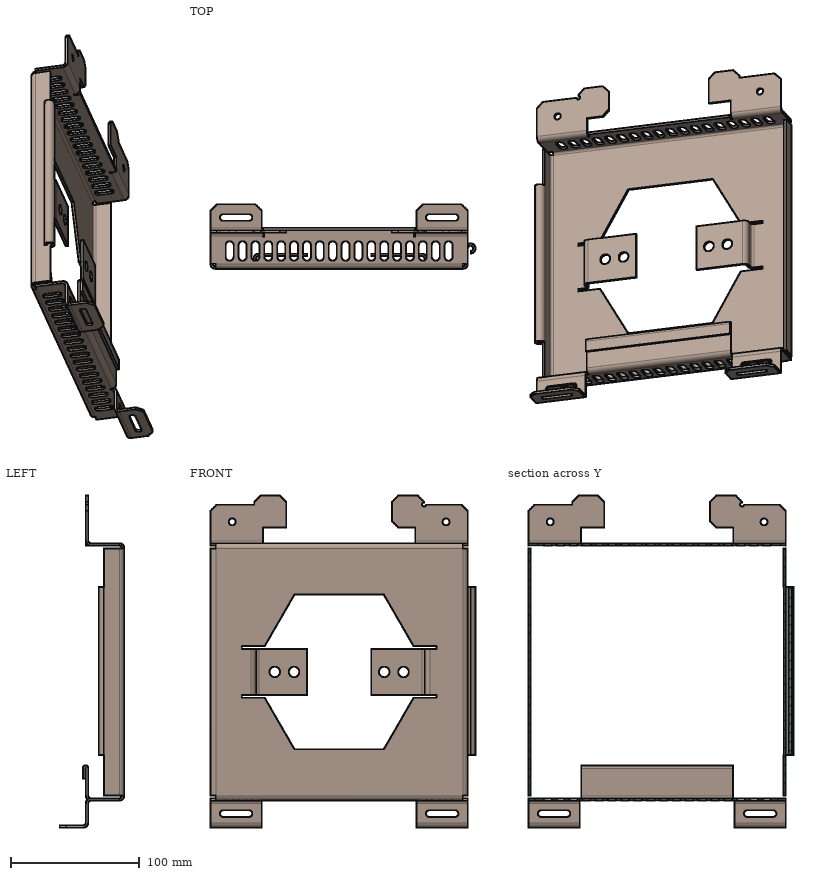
import cadquery as cq
import math

SHEET = 2.0
BEND_INNER = 2.0
BEND_OUTER = BEND_INNER + SHEET
BEND_MID = BEND_INNER + SHEET / 2

BODY_SIZE = 200.0
BODY_HALF = BODY_SIZE / 2
FLAT_HALF = BODY_HALF - BEND_OUTER
FLANGE_MID = BODY_HALF - SHEET / 2

HEXAGON_SIDES = 6
HEXAGON_APOTHEM = 60.0
HEXAGON_CORNER_DIAMETER = 2 * HEXAGON_APOTHEM / math.cos(math.pi / HEXAGON_SIDES)
INNER_TAB_HALF_HEIGHT = 18.0
SLIT_HEIGHT = 2.0
SLIT_END = 75.5
LEFT_TAB_BEND_START = 68.5
RIGHT_TAB_BEND_START = 70.3
INNER_TAB_BACK = 12.0
INNER_TAB_TIP = 24.8
INNER_TAB_HOLE_DIAMETER = 8.0
INNER_TAB_HOLES = (35.0, 50.0)

SIDE_FLANGE_END = 16.0
HOOK_TURN = 270
HOOK_BOTTOM = -64.5
HOOK_TOP = 66.0

REAR_FACE = 30.0
FLANGE_END = REAR_FACE - BEND_OUTER
RELIEF_WIDTH = 1.0
RELIEF_DEPTH = 1.0
VENT_COUNT = 18
VENT_PITCH = 10.0
VENT_WIDTH = 6.0
VENT_LENGTH = 15.0
VENT_CENTRE_Y = 14.0

EAR_INNER_EDGE = 59.0
EAR_TOP = 130.0
EAR_CHAMFER = 5.0
LOBE_OUTER_EDGE = 66.0
LOBE_INNER_EDGE = 41.0
LOBE_TOP = 137.0
LOBE_BOTTOM = 112.0
EAR_HOLE_X = 83.0
EAR_HOLE_Z = 116.5
EAR_HOLE_DIAMETER = 5.2
EAR_NOTCH_RADIUS = 1.5

FOOT_WIDTH = 40.0
FOOT_CENTRE_X = BODY_HALF - FOOT_WIDTH / 2
FOOT_BOTTOM = -121.0
FOOT_END = 50.29
FOOT_CHAMFER = 5.0
FOOT_SLOT_LENGTH = 25.0
FOOT_SLOT_WIDTH = 5.0
FOOT_SLOT_Z = -110.0
FOOT_SLOT_Y = 40.0

LIP_HALF_WIDTH = BODY_HALF - FOOT_WIDTH - RELIEF_WIDTH
LIP_TOP = -72.5
HEM_INNER = 0.1
HEM_END = -83.0


def bent_sheet(plane, start, heading, steps, low, high):
    """Sheet following a mid-line in `plane`, spanning low..high along the plane normal.

    Each step is (straight length, turn angle, inner bend radius), angles in degrees
    with left turns positive.
    """
    x, y = start
    angle = math.radians(heading)
    half = SHEET / 2

    def sides(px, py, direction):
        nx, ny = -math.sin(direction), math.cos(direction)
        return [(px + side * half * nx, py + side * half * ny) for side in (1, -1)]

    first = sides(x, y, angle)
    runs = []
    for length, turn, inner_radius in steps:
        if length:
            x += length * math.cos(angle)
            y += length * math.sin(angle)
            runs.append((None, sides(x, y, angle)))
        if turn:
            sign = math.copysign(1, turn)
            radius = inner_radius + half
            centre_x = x - sign * radius * math.sin(angle)
            centre_y = y + sign * radius * math.cos(angle)
            stations = []
            for part in (0.5, 1):
                direction = angle + part * math.radians(turn)
                x = centre_x + sign * radius * math.sin(direction)
                y = centre_y - sign * radius * math.cos(direction)
                stations.append(sides(x, y, direction))
            angle += math.radians(turn)
            runs.append(tuple(stations))

    outline = cq.Workplane(plane, origin=plane_origin(plane, low)).moveTo(*first[0])
    for middle, end in runs:
        outline = add_run(outline, middle, end, 0)
    outline = outline.lineTo(*runs[-1][1][1])
    starts = [first] + [end for _, end in runs[:-1]]
    for (middle, _), begin in zip(reversed(runs), reversed(starts)):
        outline = add_run(outline, middle, begin, 1)
    return outline.close().extrude(high - low)


def plane_origin(plane, offset):
    """Origin of an XY or YZ plane moved along its normal."""
    return (0, 0, offset) if plane == "XY" else (offset, 0, 0)


def add_run(outline, middle, end, side):
    """Add one straight or bent stretch of a sheet's left (0) or right (1) side."""
    if middle is None:
        return outline.lineTo(*end[side])
    return outline.threePointArc(middle[side], end[side])


def block(x_range, y_range, z_range):
    """Axis-aligned box given by its limits."""
    ranges = (x_range, y_range, z_range)
    sizes = [high - low for low, high in ranges]
    corner = tuple(low for low, _ in ranges)
    return cq.Workplane("XY").box(*sizes, centered=False).translate(corner)


def front_cutter(points):
    """Front-facing workplane at the given points, for cutting from the front face."""
    return cq.Workplane("XZ").pushPoints(points)


def mirror_x(shape):
    return shape.mirror("YZ")


def front_plate():
    flat = (-FLAT_HALF, FLAT_HALF)
    plate = block(flat, (0, SHEET), flat)
    hexagon = front_cutter([(0, 0)]).polygon(HEXAGON_SIDES, HEXAGON_CORNER_DIAMETER).extrude(-SHEET)
    slit_top = INNER_TAB_HALF_HEIGHT + SLIT_HEIGHT
    tab_gap = block((-SLIT_END, SLIT_END), (0, SHEET), (-slit_top, slit_top))
    return plate.cut(hexagon).cut(tab_gap)


def inner_tab(bend_start):
    """Left tab with two holes, stepped back from the plate from X = -bend_start."""
    leg = INNER_TAB_BACK - 2 * BEND_OUTER
    reach = bend_start - 2 * BEND_MID - INNER_TAB_TIP
    steps = [
        (SLIT_END - bend_start, 90, BEND_INNER),
        (leg, -90, BEND_INNER),
        (reach, 0, 0),
    ]
    height = INNER_TAB_HALF_HEIGHT
    tab = bent_sheet("XY", (-SLIT_END, SHEET / 2), 0, steps, -height, height)
    centres = [(-x, 0) for x in INNER_TAB_HOLES]
    holes = front_cutter(centres).circle(INNER_TAB_HOLE_DIAMETER / 2).extrude(-INNER_TAB_BACK)
    return tab.cut(holes)


def side_flange():
    """Left flange, as tall as the flat of the plate."""
    steps = [(0, -90, BEND_INNER), (SIDE_FLANGE_END - BEND_OUTER, 0, 0)]
    return bent_sheet("XY", (-FLAT_HALF, SHEET / 2), 180, steps, -FLAT_HALF, FLAT_HALF)


def hook():
    """Open curl rolled outward from the rear edge of the right flange."""
    steps = [(0, -HOOK_TURN, BEND_INNER)]
    return bent_sheet("XY", (FLANGE_MID, SIDE_FLANGE_END), 90, steps, HOOK_BOTTOM, HOOK_TOP)


def vented_flange():
    """Top flange up to where its rear features begin."""
    bend = bent_sheet(
        "YZ", (SHEET / 2, FLAT_HALF), 90, [(0, -90, BEND_INNER)], -FLAT_HALF, FLAT_HALF
    )
    web = block(
        (-BODY_HALF, BODY_HALF), (BEND_OUTER, FLANGE_END), (BODY_HALF - SHEET, BODY_HALF)
    )
    vents = (
        cq.Workplane("XY", origin=(0, VENT_CENTRE_Y, BODY_HALF - SHEET))
        .rarray(VENT_PITCH, 1, VENT_COUNT, 1)
        .slot2D(VENT_LENGTH, VENT_WIDTH, 90)
        .extrude(SHEET)
    )
    return bend.union(web).cut(vents)


def top_rear_strip():
    """Straight rear edge of the top flange between the ears."""
    half = EAR_INNER_EDGE - RELIEF_WIDTH
    return block((-half, half), (FLANGE_END, REAR_FACE), (BODY_HALF - SHEET, BODY_HALF))


def left_ear():
    """Left ear, with a raised lobe on its inner side and one hole."""
    bend_steps = [(0, 90, BEND_INNER)]
    bend = bent_sheet(
        "YZ", (FLANGE_END, FLANGE_MID), 0, bend_steps, -BODY_HALF, -EAR_INNER_EDGE
    )
    outline = [
        (-BODY_HALF, BODY_HALF + BEND_INNER),
        (-BODY_HALF, EAR_TOP - EAR_CHAMFER),
        (-BODY_HALF + EAR_CHAMFER, EAR_TOP),
        (-LOBE_OUTER_EDGE, EAR_TOP),
        (-LOBE_OUTER_EDGE, LOBE_TOP - EAR_CHAMFER),
        (-LOBE_OUTER_EDGE + EAR_CHAMFER, LOBE_TOP),
        (-LOBE_INNER_EDGE - EAR_CHAMFER, LOBE_TOP),
        (-LOBE_INNER_EDGE, LOBE_TOP - EAR_CHAMFER),
        (-LOBE_INNER_EDGE, LOBE_BOTTOM),
        (-EAR_INNER_EDGE, LOBE_BOTTOM),
        (-EAR_INNER_EDGE, BODY_HALF + BEND_INNER),
    ]
    face = cq.Workplane("XZ", origin=(0, REAR_FACE, 0)).polyline(outline).close().extrude(SHEET)
    hole = (
        cq.Workplane("XZ", origin=(0, REAR_FACE, 0))
        .center(-EAR_HOLE_X, EAR_HOLE_Z)
        .circle(EAR_HOLE_DIAMETER / 2)
        .extrude(SHEET)
    )
    return bend.union(face).cut(hole)


def right_ear():
    """Mirrored ear with a chamfered lower lobe corner and a round notch beside the lobe."""
    rear = cq.Workplane("XZ", origin=(0, REAR_FACE, 0))
    corner = [
        (LOBE_INNER_EDGE, LOBE_BOTTOM),
        (LOBE_INNER_EDGE + EAR_CHAMFER, LOBE_BOTTOM),
        (LOBE_INNER_EDGE, LOBE_BOTTOM + EAR_CHAMFER),
    ]
    chamfer = rear.polyline(corner).close().extrude(SHEET)
    notch = rear.center(LOBE_OUTER_EDGE, EAR_TOP).circle(EAR_NOTCH_RADIUS).extrude(SHEET)
    return mirror_x(left_ear()).cut(chamfer).cut(notch)


def foot():
    """Left foot: down from the bottom flange, then back, slotted in both legs."""
    steps = [
        (0, -90, BEND_INNER),
        (-BODY_HALF - BEND_INNER - FOOT_BOTTOM - BEND_OUTER, 90, BEND_INNER),
        (FOOT_END - FLANGE_END - 2 * BEND_MID, 0, 0),
    ]
    inner_edge = -BODY_HALF + FOOT_WIDTH
    sheet = bent_sheet("YZ", (FLANGE_END, -FLANGE_MID), 0, steps, -BODY_HALF, inner_edge)
    sheet = sheet.faces(">Y").edges("|Z").chamfer(FOOT_CHAMFER)
    upright_slot = (
        cq.Workplane("XZ", origin=(-FOOT_CENTRE_X, REAR_FACE, FOOT_SLOT_Z))
        .slot2D(FOOT_SLOT_LENGTH, FOOT_SLOT_WIDTH)
        .extrude(SHEET)
    )
    base_slot = (
        cq.Workplane("XY", origin=(-FOOT_CENTRE_X, FOOT_SLOT_Y, FOOT_BOTTOM))
        .slot2D(FOOT_SLOT_LENGTH, FOOT_SLOT_WIDTH)
        .extrude(SHEET)
    )
    return sheet.cut(upright_slot).cut(base_slot)


def hemmed_lip():
    """Lip rising from the bottom flange and folded back down behind itself."""
    fold_start = LIP_TOP - HEM_INNER - SHEET
    steps = [
        (0, 90, BEND_INNER),
        (fold_start + BODY_HALF - BEND_OUTER, -180, HEM_INNER),
        (fold_start - HEM_END, 0, 0),
    ]
    return bent_sheet(
        "YZ", (FLANGE_END, -FLANGE_MID), 0, steps, -LIP_HALF_WIDTH, LIP_HALF_WIDTH
    )


def bend_reliefs():
    """Slits that part the ears from the top flange and the feet from the lip."""
    rear = (FLANGE_END - RELIEF_DEPTH, REAR_FACE)
    top = (BODY_HALF - SHEET, BODY_HALF)
    bottom = (-BODY_HALF, -BODY_HALF + SHEET)
    ear_relief = block((-EAR_INNER_EDGE, -EAR_INNER_EDGE + RELIEF_WIDTH), rear, top)
    foot_relief = block((-LIP_HALF_WIDTH - RELIEF_WIDTH, -LIP_HALF_WIDTH), rear, bottom)
    left = ear_relief.union(foot_relief)
    return left.union(mirror_x(left))


body = front_plate()
for left_feature in (side_flange(), foot()):
    body = body.union(left_feature).union(mirror_x(left_feature))
body = body.union(inner_tab(LEFT_TAB_BEND_START))
body = body.union(mirror_x(inner_tab(RIGHT_TAB_BEND_START)))

top_flange = vented_flange()
body = body.union(top_flange).union(top_flange.mirror("XY"))
for feature in (hook(), top_rear_strip(), left_ear(), right_ear(), hemmed_lip()):
    body = body.union(feature)

result = body.cut(bend_reliefs())